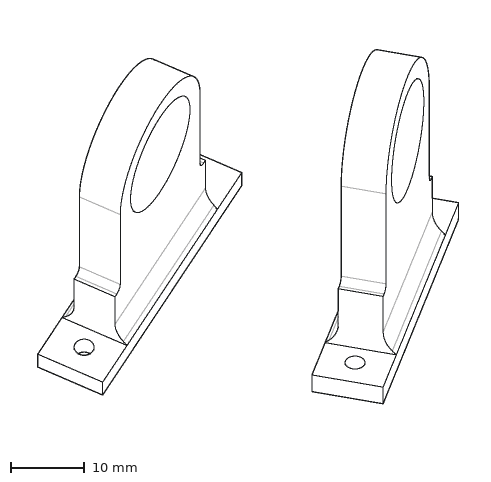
import cadquery as cq
import math

base_width = 10.0
base_length = 40.0
base_height = 3.0
screw_hole_diameter = 2.7
screw_hole_spacing = 32.0

total_height = 41.5
plate_thickness = 6.3
ring_diameter = 23.0
bore_diameter = 17.1
bore_height = total_height - ring_diameter / 2

foot_length = 26.0
foot_top = 13.0
shoulder_fillet = 1.0

flare_radius = 4.4
slope_angle = math.radians(45)


def make_base():
    base = cq.Workplane("XY").box(base_width, base_length, base_height, centered=(True, True, False))
    half_spacing = screw_hole_spacing / 2
    return (
        base.faces(">Z").workplane()
        .pushPoints([(0, -half_spacing), (0, half_spacing)])
        .hole(screw_hole_diameter)
    )


def make_plate():
    """Side outline with round top and filleted shoulders, extruded across X."""
    half_ring = ring_diameter / 2
    half_foot = foot_length / 2
    fillet_end = half_ring + shoulder_fillet
    fillet_start = foot_top + shoulder_fillet
    return (
        cq.Workplane("YZ")
        .moveTo(-half_foot, base_height)
        .lineTo(half_foot, base_height)
        .lineTo(half_foot, foot_top)
        .lineTo(fillet_end, foot_top)
        .radiusArc((half_ring, fillet_start), shoulder_fillet)
        .lineTo(half_ring, bore_height)
        .threePointArc((0, total_height), (-half_ring, bore_height))
        .lineTo(-half_ring, fillet_start)
        .radiusArc((-fillet_end, foot_top), shoulder_fillet)
        .lineTo(-half_foot, foot_top)
        .close()
        .extrude(plate_thickness / 2, both=True)
    )


def make_flare():
    """Foot section that widens to the full base width, extruded along Y."""
    half_plate = plate_thickness / 2
    half_base = base_width / 2

    def reach(angle):
        """Half width of the flare where its arc has turned by an angle from vertical."""
        return half_plate + flare_radius * (1 - math.cos(angle))

    slope_start = reach(slope_angle)
    slope_top = base_height + (half_base - slope_start) * math.tan(slope_angle)
    flare_top = slope_top + flare_radius * math.sin(slope_angle)
    arc_middle = reach(slope_angle / 2)
    arc_middle_height = flare_top - flare_radius * math.sin(slope_angle / 2)
    return (
        cq.Workplane("XZ")
        .moveTo(-half_base, base_height)
        .lineTo(half_base, base_height)
        .lineTo(slope_start, slope_top)
        .threePointArc((arc_middle, arc_middle_height), (half_plate, flare_top))
        .lineTo(-half_plate, flare_top)
        .threePointArc((-arc_middle, arc_middle_height), (-slope_start, slope_top))
        .close()
        .extrude(foot_length / 2, both=True)
    )


def make_bore():
    return (
        cq.Workplane("YZ", origin=(-plate_thickness / 2, 0, bore_height))
        .circle(bore_diameter / 2)
        .extrude(plate_thickness)
    )


result = make_base().union(make_plate()).union(make_flare()).cut(make_bore())